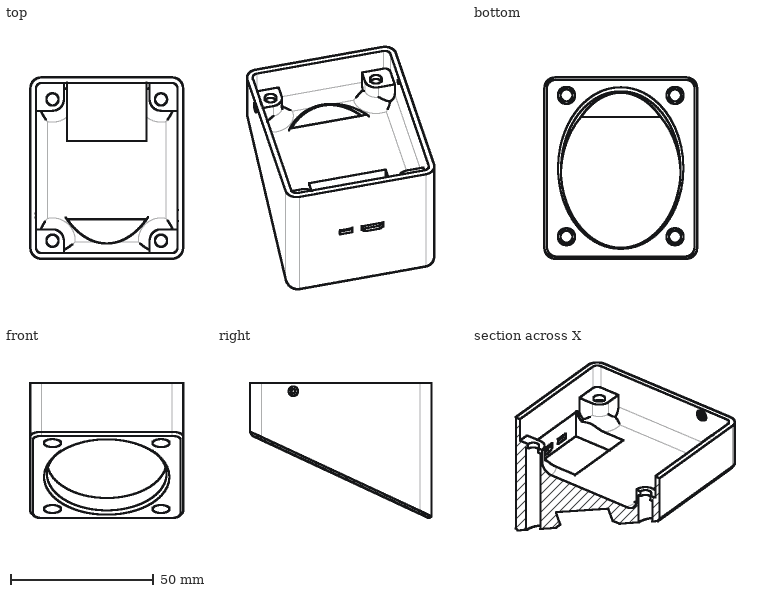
import cadquery as cq
import math

width = 53.72
length = 63.75
wall = 2.0
corner_radius = 4.0
slope_angle = 25.0
front_height = 18.14
bottom_chamfer = 1.0

floor_z = -18.0
floor_fillet = 4.0
boss_top_z = -9.0
boss_radius = 4.0
screw_spacing_x = 38.1
screw_spacing_y = 49.6
screw_offset_y = -0.7
screw_diameter = 4.2
counterbore_diameter = 6.0
boss_web = 2.0

recess_width = 42.0
recess_length = 60.6
recess_depth = 6.0
recess_chamfer_in_plane = 1.0
recess_chamfer_depth = 1.2

pocket_width = 27.74
pocket_front_y = 9.5
pocket_back_y = 30.5
pocket_floor_z = -24.8
pocket_ceiling_z = -14.0
switch_center_x = 5.9
switch_width = 4.55
switch_height = 2.0
switch_center_z = -21.7
usb_center_x = -3.65
usb_width = 8.0
usb_height = 2.8
usb_top_z = -20.6
usb_corner_width = 1.3
usb_corner_height = 1.0

side_hole_y = -16.65
side_hole_z = -2.9
left_hole_diameter = 1.4
right_hole_diameter = 3.3
right_counterbore_diameter = 4.0
right_counterbore_depth = 1.1

half_width = width / 2
half_length = length / 2
inner_half_width = half_width - wall
inner_half_length = half_length - wall
slope = math.tan(math.radians(slope_angle))
back_height = front_height + length * slope
screw_points = [
    (side_x * screw_spacing_x / 2, screw_offset_y + side_y * screw_spacing_y / 2)
    for side_x in (-1, 1)
    for side_y in (-1, 1)
]


def sloping_plane():
    """Plane on the bottom face: origin at mid length, local Y up the slope, Z outward."""
    angle = math.radians(slope_angle)
    middle_z = -(front_height + back_height) / 2
    return cq.Plane(
        origin=(0, 0, middle_z),
        xDir=(1, 0, 0),
        normal=(0, -math.sin(angle), -math.cos(angle)),
    )


def outer_body():
    profile = [
        (-half_length, 0),
        (half_length, 0),
        (half_length, -back_height),
        (-half_length, -front_height),
    ]
    wedge = cq.Workplane("YZ").polyline(profile).close().extrude(half_width, both=True)
    wedge = wedge.edges("|Z").fillet(corner_radius)
    return wedge.faces("<Z").chamfer(bottom_chamfer)


def boss_block(screw_x, screw_y):
    """Block from a cavity corner to the screw axis, rounded at the corner facing the cavity."""
    toward_x = math.copysign(1, screw_x)
    toward_y = math.copysign(1, screw_y)
    inner_x = screw_x - toward_x * boss_radius
    inner_y = screw_y - toward_y * boss_radius
    outer_x = toward_x * half_width
    outer_y = toward_y * half_length
    block = cq.Workplane("XY").workplane(offset=boss_top_z)
    block = block.moveTo((inner_x + outer_x) / 2, (inner_y + outer_y) / 2)
    block = block.rect(abs(outer_x - inner_x), abs(outer_y - inner_y)).extrude(floor_z - boss_top_z)
    facing_edge = cq.selectors.NearestToPointSelector((inner_x, inner_y, (boss_top_z + floor_z) / 2))
    return block.edges("|Z").edges(facing_edge).fillet(boss_radius)


def boss_flare(screw_x, screw_y):
    """Round foot whose concave flank runs from the boss flank out to the floor."""
    flare_top_z = floor_z + floor_fillet
    foot_radius = boss_radius + floor_fillet
    arc_inset = floor_fillet * math.sqrt(0.5)
    arc_middle = (foot_radius - arc_inset, flare_top_z - arc_inset)
    profile = cq.Workplane("XZ", origin=(screw_x, screw_y, 0)).moveTo(0, floor_z)
    profile = profile.lineTo(foot_radius, floor_z)
    profile = profile.threePointArc(arc_middle, (boss_radius, flare_top_z))
    profile = profile.lineTo(0, flare_top_z).close()
    return profile.revolve(360, (0, 0, 0), (0, 1, 0))


def cavity():
    """Open space inside the walls, with a filleted floor and the corner bosses left standing."""
    space = cq.Workplane("XY").rect(2 * inner_half_width, 2 * inner_half_length).extrude(floor_z)
    space = space.faces("<Z").edges().fillet(floor_fillet)
    upright_corners = cq.Workplane("XY").rect(2 * inner_half_width, 2 * inner_half_length)
    upright_corners = upright_corners.extrude(floor_z).edges("|Z").fillet(corner_radius - wall)
    space = space.intersect(upright_corners)
    for point in screw_points:
        space = space.cut(boss_block(*point)).cut(boss_flare(*point))
    return space


def recess():
    """Blind elliptical recess, square to the sloping face, with a chamfered mouth."""
    straight = cq.Workplane(sloping_plane()).ellipse(recess_width / 2, recess_length / 2)
    straight = straight.extrude(-recess_depth)
    mouth = cq.Workplane(sloping_plane())
    mouth = mouth.ellipse(
        recess_width / 2 + recess_chamfer_in_plane,
        recess_length / 2 + recess_chamfer_in_plane,
    )
    mouth = mouth.workplane(offset=-recess_chamfer_depth).ellipse(recess_width / 2, recess_length / 2)
    return straight.union(mouth.loft(ruled=True))


def pocket():
    pocket_length = pocket_back_y - pocket_front_y
    block = cq.Workplane("XY").workplane(offset=pocket_floor_z)
    block = block.center(0, (pocket_front_y + pocket_back_y) / 2).rect(pocket_width, pocket_length)
    return block.extrude(pocket_ceiling_z - pocket_floor_z)


def back_wall_openings():
    """Rectangular switch window and USB port shape, both through the wall behind the pocket."""
    switch_sketch = cq.Workplane("XZ", origin=(switch_center_x, half_length, switch_center_z))
    switch_window = switch_sketch.rect(switch_width, switch_height).extrude(wall)
    half_usb = usb_width / 2
    usb_outline = [
        (-half_usb, 0),
        (half_usb, 0),
        (half_usb, usb_corner_height - usb_height),
        (half_usb - usb_corner_width, -usb_height),
        (usb_corner_width - half_usb, -usb_height),
        (-half_usb, usb_corner_height - usb_height),
    ]
    usb_sketch = cq.Workplane("XZ", origin=(usb_center_x, half_length, usb_top_z))
    usb_port = usb_sketch.polyline(usb_outline).close().extrude(wall)
    return switch_window.union(usb_port)


def screw_holes():
    """Screw clearance holes with counterbores opening on the sloping face."""
    through = cq.Workplane("XY").pushPoints(screw_points).circle(screw_diameter / 2)
    through = through.extrude(-back_height)
    counterbores = cq.Workplane("XY").workplane(offset=boss_top_z - boss_web)
    counterbores = counterbores.pushPoints(screw_points).circle(counterbore_diameter / 2)
    return through.union(counterbores.extrude(-back_height))


def side_hole(start_x, diameter, depth):
    sketch = cq.Workplane("YZ", origin=(start_x, side_hole_y, side_hole_z))
    return sketch.circle(diameter / 2).extrude(depth)


result = outer_body().cut(cavity()).cut(recess()).cut(pocket()).cut(back_wall_openings())
result = result.cut(screw_holes())
result = result.cut(side_hole(-half_width, left_hole_diameter, wall))
result = result.cut(side_hole(inner_half_width, right_hole_diameter, wall))
result = result.cut(side_hole(inner_half_width, right_counterbore_diameter, right_counterbore_depth))